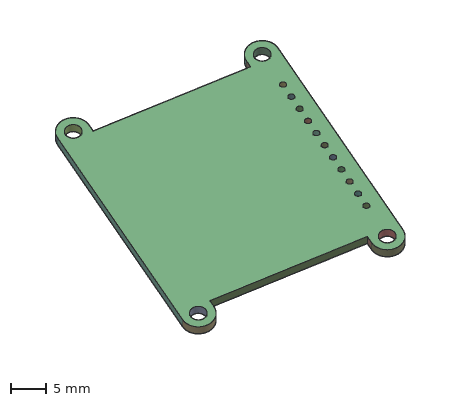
import cadquery as cq

overall_length = 43.2
body_side = 35.6
thickness = 1.6

ear_width = 5.1
ear_hole_diameter = 2.5
ear_center_x = (overall_length - ear_width) / 2
ear_center_y = (body_side - ear_width) / 2

pin_hole_diameter = 1.0
pin_count = 11
pin_row_length = 25.4
pin_pitch = pin_row_length / (pin_count - 1)


def make_ear_strip(center_y):
    """Full-length strip whose rounded ends form a pair of ears."""
    return (
        cq.Workplane("XY")
        .center(0, center_y)
        .slot2D(overall_length, ear_width)
        .extrude(thickness)
    )


def make_plate():
    """Square body joined to the two ear strips."""
    plate = cq.Workplane("XY").rect(body_side, body_side).extrude(thickness)
    for center_y in (-ear_center_y, ear_center_y):
        plate = plate.union(make_ear_strip(center_y))
    return plate.clean()


def make_hole_cutters(points, diameter):
    """Cylinders through the full thickness at the given points."""
    return cq.Workplane("XY").pushPoints(points).circle(diameter / 2).extrude(thickness)


ear_hole_points = [
    (side_x * ear_center_x, side_y * ear_center_y)
    for side_x in (-1, 1)
    for side_y in (-1, 1)
]
pin_hole_points = [
    (index * pin_pitch - pin_row_length / 2, ear_center_y)
    for index in range(pin_count)
]

result = (
    make_plate()
    .cut(make_hole_cutters(ear_hole_points, ear_hole_diameter))
    .cut(make_hole_cutters(pin_hole_points, pin_hole_diameter))
)